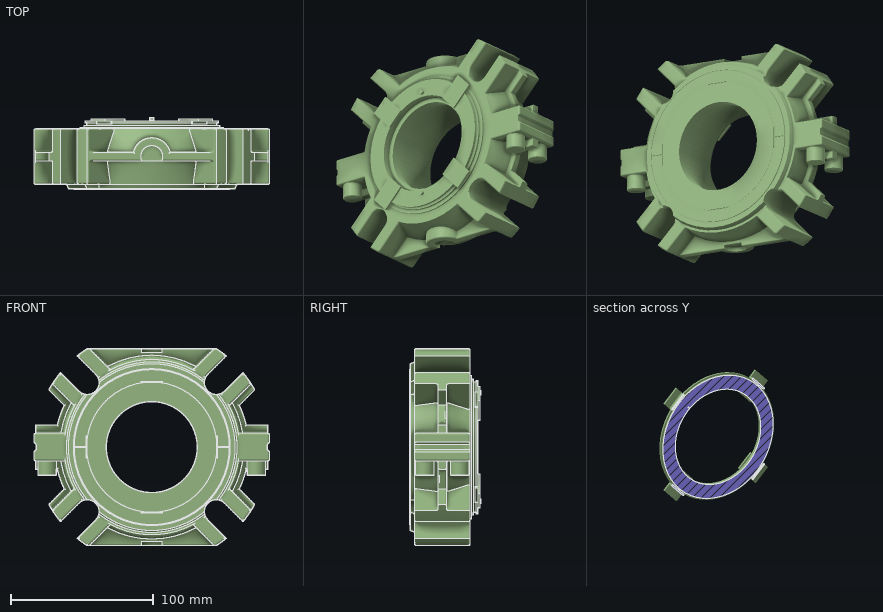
import cadquery as cq
import math

length = 164.9
height = 137.9
front_y = -23.1
rear_y = 27.2

bore_radius = 63.5 / 2
housing_half_width = 19.5
crown_radius = 64.3
crown_half_width = 3.3
housing_front_radius = 61.3
housing_rear_radius = 57.4
flange_root_radius = 59.7
flange_face_radius = 58.4
flange_face_y = -22.6
cover_radius = 54.9
insert_radius = 91.2 / 2
cover_step = 0.2
seat_radius = 70.0 / 2
seat_y = 19.0

rear_steps = [(50.3, 20.5), (95.3 / 2, 21.8), (91.2 / 2, 23.5), (93.7 / 2, 24.9)]
rear_face_y = rear_steps[-1][1]

slot_width = 16.5
slot_center_radius = 63.8
arm_thickness = 9.5
arm_root = 49.5
arm_tip_radius = length / 2
arm_rib_thickness = 14.3
edge_round = 1.3
root_round = 1.3

web_thickness = 6.0
web_radius = 68.0
web_round = 1.0

lug_half_height = 9.7
lug_root_x = 56.0
lug_web_half_height = 15.5
lug_web_inset = 1.2
groove_mouth = 7.0
groove_floor = 3.6
groove_depth = 1.5
bolt_diameter = 13.0
bolt_x = 73.2
bolt_y = 12.2
bolt_bottom_z = -20.0
bolt_chamfer = 0.5

boss_radius = 13.2
boss_base_z = 56.0
recess_diameter = 15.3
recess_depth = 2.8

groove_width = 0.7
face_groove_depth = 0.8
flat_length = 15.3

plate_width = 14.2
plate_inner_radius = 33.6
plate_length = 19.5
plate_thickness = 1.5
hook_depth = 2.1
hook_thickness = 0.7
pin_radial_place = 38.0
pin_stem_diameter = 2.6
pin_head_diameter = 3.1
pin_head_height = 1.6

tolerance = 0.05
diagonals = [45, 135, 225, 315]


def slab(outline, half_width):
    """Extrude an outline in the XZ plane equally to both sides of Y = 0."""
    return outline.extrude(half_width, both=True)


def box(x_range, y_range, z_range):
    sides = [end - start for start, end in (x_range, y_range, z_range)]
    corner = (x_range[0], y_range[0], z_range[0])
    return cq.Workplane("XY").box(*sides, centered=False).translate(corner)


def around_y(shape, angle):
    """Turn a shape that points along +X towards +Z by the given angle."""
    return shape.rotate((0, 0, 0), (0, 1, 0), -angle)


def disc(radius, y_start, y_end):
    return cq.Workplane("XZ", origin=(0, y_start, 0)).circle(radius).extrude(y_start - y_end)


def ring_body():
    half = housing_half_width
    profile = [
        (0, front_y),
        (cover_radius, front_y),
        (cover_radius, flange_face_y),
        (flange_face_radius, flange_face_y),
        (flange_root_radius, -half),
        (housing_front_radius, -half),
        (crown_radius, -crown_half_width),
        (crown_radius, crown_half_width),
        (housing_rear_radius, half),
    ]
    step_start = half
    for radius, step_end in rear_steps:
        profile += [(radius, step_start), (radius, step_end)]
        step_start = step_end
    profile.append((0, rear_face_y))
    return cq.Workplane("XY").polyline(profile).close().revolve(360, (0, 0, 0), (0, 1, 0))


def at_diagonals(shape):
    """Copies of a shape that points along +X, one on every diagonal."""
    copies = around_y(shape, diagonals[0])
    for angle in diagonals[1:]:
        copies = copies.union(around_y(shape, angle))
    return copies


def slots():
    """Round-bottomed slots that open outwards on every diagonal."""
    half = slot_width / 2
    outline = (
        cq.Workplane("XZ")
        .moveTo(length, half)
        .lineTo(slot_center_radius, half)
        .threePointArc((slot_center_radius - half, 0), (slot_center_radius, -half))
        .lineTo(length, -half)
        .close()
    )
    return at_diagonals(slab(outline, length / 2))


slot_cutters = slots()


def arm_pairs(thickness, half_width):
    """Plates on both sides of every slot, ending at the tip circle and at the flat top and bottom."""
    span = slot_width + 2 * thickness
    bar = slab(cq.Workplane("XZ").center((arm_root + length) / 2, 0).rect(length - arm_root, span), half_width)
    tips = slab(cq.Workplane("XZ").circle(arm_tip_radius), half_width)
    flats = slab(cq.Workplane("XZ").rect(length, height), half_width)
    return at_diagonals(bar).intersect(tips).intersect(flats)


def edges_where(shape, test):
    """Edges on which every sampled point passes the test."""
    found = []
    for edge in shape.edges().vals():
        if all(test(edge.positionAt(place)) for place in (0.05, 0.5, 0.95)):
            found.append(edge)
    return shape.newObject(found)


def axis_distance(point):
    """Distance from the axis of the ring."""
    return math.hypot(point.x, point.z)


def close(value, target):
    return abs(value - target) < tolerance


def on_arm_plane(point, offset):
    """True on the planes that run along the diagonals at an offset from them."""
    return close(abs(abs(point.x) - abs(point.z)) / math.sqrt(2), offset)


def beside_arm_or_lug(point):
    """True on the sides of the arms away from the slots and on the flat sides of the lugs."""
    on_lug = close(abs(point.z), lug_half_height) and abs(point.x) > lug_root_x
    return on_lug or on_arm_plane(point, slot_width / 2 + arm_thickness)


def arms():
    """Arms over the full width of the housing, rounded along the outline of both sides."""
    plates = arm_pairs(arm_thickness, housing_half_width).cut(slot_cutters)
    return plates.faces("<Y or >Y").edges().fillet(edge_round)


def lugs():
    """Blocks on both sides, rounded on all edges except those of the hidden root."""
    half = housing_half_width
    block = box((lug_root_x, length / 2), (-half, half), (-lug_half_height, lug_half_height))
    block = block.faces(">X or <Y or >Y").edges("not <X").fillet(edge_round)
    return block.union(block.mirror("YZ"))


def web_plate():
    """Thin plate in the middle plane that joins the arms, lugs and bosses."""
    half = web_thickness / 2
    reach = height / 2
    plate = slab(cq.Workplane("XZ").circle(web_radius), half)
    for side in (1, -1):
        wedge = [(0, 0), (reach, side * reach), (-reach, side * reach)]
        plate = plate.union(slab(cq.Workplane("XZ").polyline(wedge).close(), half))
    plate = plate.intersect(slab(cq.Workplane("XZ").circle(arm_tip_radius), half))
    lug_plate = cq.Workplane("XZ").rect(length - 2 * lug_web_inset, 2 * lug_web_half_height)
    plate = plate.union(slab(lug_plate, half)).union(arm_pairs(arm_rib_thickness, half))
    return plate.cut(slot_cutters)


def frame():
    """Arms, lugs and web in one piece, rounded where they meet and along the rim of the web."""
    half = web_thickness / 2

    def on_web_side(point):
        return close(abs(point.y), half) and axis_distance(point) > arm_root

    def at_root(point):
        return on_web_side(point) and beside_arm_or_lug(point)

    def at_rim(point):
        at_height = close(abs(point.z), height / 2) or close(abs(point.z), lug_web_half_height)
        on_circle = close(axis_distance(point), web_radius)
        on_rib = on_arm_plane(point, slot_width / 2 + arm_rib_thickness)
        return on_web_side(point) and (at_height or on_circle or on_rib)

    body = arms().union(web_plate()).union(lugs())
    body = edges_where(body, at_root).fillet(root_round)
    return edges_where(body, at_rim).fillet(web_round)


def lug_grooves():
    """Trapezoidal grooves along Y across the end faces of the lugs."""
    floor_x = length / 2 - groove_depth
    profile = [
        (length / 2, groove_mouth / 2),
        (floor_x, groove_floor / 2),
        (floor_x, -groove_floor / 2),
        (length / 2, -groove_mouth / 2),
    ]
    groove = slab(cq.Workplane("XZ").polyline(profile).close(), length)
    return groove.union(groove.mirror("YZ"))


def bosses():
    """Both bosses, turned so that the seams of the cylinders lie away from the web."""
    cylinder = cq.Workplane("XY", origin=(0, 0, boss_base_z)).circle(boss_radius)
    cylinder = cylinder.extrude(height / 2 - boss_base_z).faces(">Z").edges().fillet(edge_round)
    cylinder = cylinder.rotate((0, 0, 0), (0, 0, 1), 90)
    return cylinder.union(cylinder.mirror("XY"))


def boss_recesses():
    recess = cq.Workplane("XY", origin=(0, 0, height / 2 - recess_depth))
    recess = recess.circle(recess_diameter / 2).extrude(recess_depth)
    return recess.union(recess.mirror("XY"))


def bolts():
    places = [(x, y) for x in (-bolt_x, bolt_x) for y in (-bolt_y, bolt_y)]
    heads = cq.Workplane("XY", origin=(0, 0, bolt_bottom_z)).pushPoints(places)
    heads = heads.circle(bolt_diameter / 2).extrude(-bolt_bottom_z)
    return heads.faces("<Z").edges().chamfer(bolt_chamfer)


def face_grooves():
    """Ring groove around the cover, its split line and the narrow flats around the insert."""
    half = groove_width / 2
    floor_y = front_y + face_groove_depth
    ring = disc(cover_radius, front_y, floor_y).cut(disc(cover_radius - groove_width, front_y, floor_y))
    split = box((-cover_radius, cover_radius), (front_y, floor_y), (-half, half))
    split = split.cut(disc(insert_radius, front_y, floor_y))
    cover = disc(cover_radius, front_y, front_y + cover_step)
    cover = cover.cut(disc(insert_radius, front_y, front_y + cover_step))
    grooves = ring.union(split).union(cover)
    flat = box(
        (insert_radius - half, insert_radius + half),
        (front_y, floor_y),
        (-flat_length / 2, flat_length / 2),
    )
    for angle in (0, 90, 180, 270):
        grooves = grooves.union(around_y(flat, angle))
    return grooves


def retaining_plate():
    """Flat plate on the rear face with a thin hook that reaches down the rim of the last step."""
    half = plate_width / 2
    plate = box(
        (plate_inner_radius, plate_inner_radius + plate_length),
        (rear_face_y, rear_face_y + plate_thickness),
        (-half, half),
    )
    rim_radius = rear_steps[-1][0]
    hook = box(
        (rim_radius - hook_thickness, rim_radius + hook_thickness),
        (rear_face_y - hook_depth, rear_face_y),
        (-half, half),
    )
    return plate.union(hook)


def pin(side):
    head_y = rear_y - pin_head_height
    stem = disc(pin_stem_diameter / 2, rear_face_y - hook_depth, head_y)
    head = disc(pin_head_diameter / 2, head_y, rear_y)
    return stem.union(head).translate((0, 0, side * pin_radial_place))


housing = ring_body().union(frame()).union(bosses())
housing = housing.cut(slot_cutters).cut(lug_grooves())

housing = housing.cut(disc(bore_radius, front_y, rear_y)).cut(disc(seat_radius, seat_y, rear_y))
housing = housing.cut(face_grooves()).cut(boss_recesses())

result = housing.union(bolts()).union(at_diagonals(retaining_plate()))
for direction in (1, -1):
    result = result.union(pin(direction))